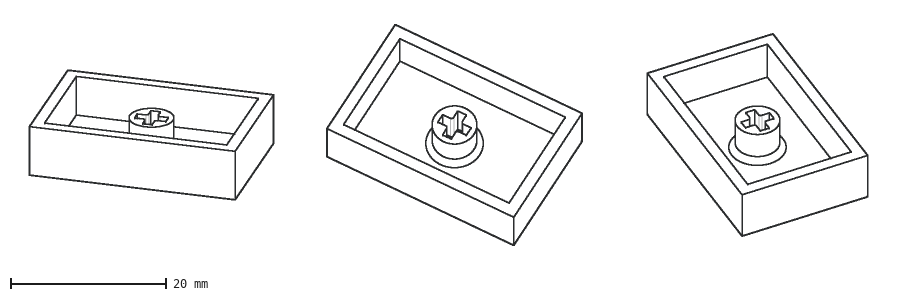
import cadquery as cq

tray_length = 27.6
tray_width = 18.07
tray_height = 6.9
wall = 1.6
floor_thickness = 1.42
tray_turn = -0.8

stem_diameter = 5.8
stem_recess = 1.0
stem_top = tray_height - stem_recess
foot_diameter = 7.4
foot_height = (foot_diameter - stem_diameter) / 2

cross_span_x = 4.18
cross_span_y = 4.12
cross_arm_width = 1.28
cross_corner_radius = 0.3
cross_depth = stem_top - floor_thickness


def make_tray():
    body = cq.Workplane("XY").rect(tray_length, tray_width).extrude(tray_height)
    cavity = (
        cq.Workplane("XY", origin=(0, 0, floor_thickness))
        .rect(tray_length - 2 * wall, tray_width - 2 * wall)
        .extrude(tray_height - floor_thickness)
    )
    return body.cut(cavity).rotate((0, 0, 0), (0, 0, 1), tray_turn)


def make_stem():
    return (
        cq.Workplane("XZ")
        .lineTo(foot_diameter / 2, 0)
        .lineTo(foot_diameter / 2, floor_thickness)
        .lineTo(stem_diameter / 2, floor_thickness + foot_height)
        .lineTo(stem_diameter / 2, stem_top)
        .lineTo(0, stem_top)
        .close()
        .revolve(360, (0, 0, 0), (0, 1, 0))
    )


def make_cross():
    socket_floor = cq.Workplane("XY", origin=(0, 0, stem_top - cross_depth))
    along_x = socket_floor.rect(cross_span_x, cross_arm_width).extrude(cross_depth)
    along_y = socket_floor.rect(cross_arm_width, cross_span_y).extrude(cross_depth)
    meeting_corners = cq.selectors.BoxSelector(
        (-cross_arm_width, -cross_arm_width, 0),
        (cross_arm_width, cross_arm_width, tray_height),
    )
    cross = along_x.union(along_y)
    return cross.edges("|Z").edges(meeting_corners).fillet(cross_corner_radius)


result = make_tray().union(make_stem()).cut(make_cross())